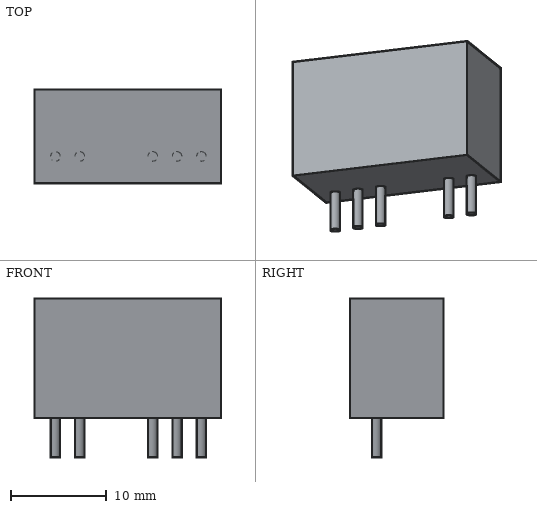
import cadquery as cq

case_length = 19.5
case_width = 9.8
case_height = 12.5

pin_diameter = 1.0
pin_length = 4.1
pin_pitch = 2.54
pin_positions = [0, 1, 4, 5, 6]
first_pin_to_case_end = 2.2
pin_row_to_case_front = 2.8

first_pin_x = -case_length / 2 + first_pin_to_case_end
pin_row_y = -case_width / 2 + pin_row_to_case_front


def make_case():
    return cq.Workplane("XY").box(case_length, case_width, case_height, centered=(True, True, False))


def make_pin(position):
    """Round pin hanging from the case underside at a grid position along X."""
    pin_x = first_pin_x + position * pin_pitch
    return cq.Workplane("XY").center(pin_x, pin_row_y).circle(pin_diameter / 2).extrude(-pin_length)


case = make_case()
pins = [make_pin(position) for position in pin_positions]

result = cq.Compound.makeCompound([case.val(), *[pin.val() for pin in pins]])